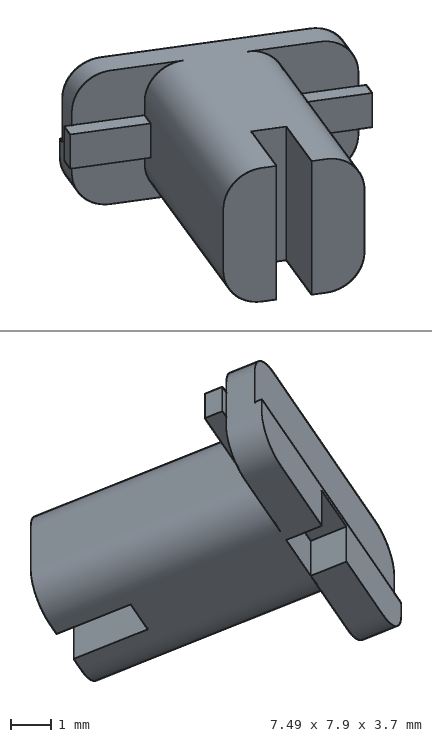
import cadquery as cq

height = 3.7
corner_radius = 1.0
flange_width = 7.5
flange_thickness = 1.0
step_depth = 0.2
step_height = 1.5
stem_length = 6.49
stem_width = 3.7
bar_length = 7.9
bar_thickness = 0.5
bar_height = 0.95
bar_bottom = 1.38
slot_length = 2.085
slot_width = 0.92
notch_width = 1.32
notch_height = 1.35
notch_depth = 1.0
notch_offset = -0.135

total_length = flange_thickness + stem_length


def box(x_start, length, width, z_start, box_height, y_center=0):
    """Box placed by its low X face, low Z face and Y center."""
    return (
        cq.Workplane("XY")
        .box(length, width, box_height, centered=(False, True, False))
        .translate((x_start, y_center, z_start))
    )


def rounded_bar(x_start, length, width):
    """Full-height bar along X with its four long edges rounded."""
    return box(x_start, length, width, 0, height).edges("|X").fillet(corner_radius)


flange = rounded_bar(0, flange_thickness, flange_width)
flange = flange.cut(box(0, step_depth, flange_width, step_height, height - step_height))

stem = rounded_bar(flange_thickness, stem_length, stem_width)
cross_bar = box(flange_thickness, bar_thickness, bar_length, bar_bottom, bar_height)

slot = box(total_length - slot_length, slot_length, slot_width, 0, height)

notch = box(0, notch_depth, notch_width, 0, notch_height, notch_offset)

result = flange.union(stem).union(cross_bar).cut(slot).cut(notch)